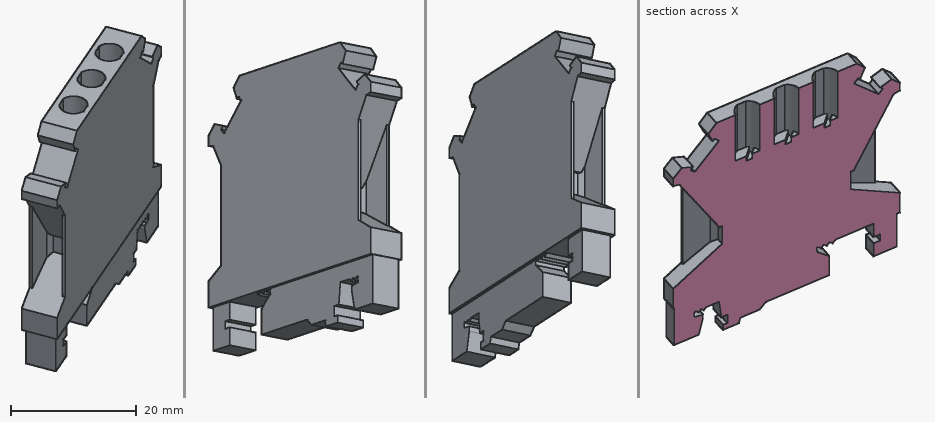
import cadquery as cq
import math

housing_width = 6.15
housing_height = 36.5
half_length = 21.25
waist_half_length = 18.0
base_height = 4.35
base_slope_angle = 30.0
shoulder_bottom_z = 22.78
shoulder_slope_angle = 60.0
shoulder_slope_end_y = 20.07

base_slope = math.tan(math.radians(base_slope_angle))
shoulder_slope = math.tan(math.radians(shoulder_slope_angle))
waist_bottom_z = base_height + (half_length - waist_half_length) * base_slope
shoulder_slope_end_z = shoulder_bottom_z + (shoulder_slope_end_y - waist_half_length) * shoulder_slope

funnel_mouth_half_width = 2.59
funnel_bend_y = 13.15
funnel_bend_half_width = 2.19
funnel_back_y = 12.08
funnel_back_half_width = 1.5
funnel_back_top_z = 13.4
funnel_bottom_z = waist_bottom_z + (waist_half_length - funnel_back_y) * base_slope
funnel_ceiling_y = waist_half_length - (shoulder_bottom_z - funnel_back_top_z) / shoulder_slope

screw_pitch = 7.3
screw_count = 3
shaft_diameter = 4.5
shaft_across_flats = 4.2
shaft_depth = 10.0
slot_width = 0.72
slot_depth = 1.0
slot_angle = -45.0

feet_width = 5.2
foot_bottom_z = -7.15
outer_foot_bottom_z = -8.1
latch_bottom_z = -9.3
main_foot_outer_y = 21.1
clip_ceiling_z = -2.8
clip_wall_y = 17.2
clip_tooth_pitch = 0.93
clip_tooth_count = 2
clip_tooth_start_y = 16.9
rail_tooth_pitch = 1.09
rail_tooth_count = 3
rail_tooth_start_y = -5.9

rear_foot_inner_y = -16.27
rear_foot_outer_y = -20.63
rear_notch_depth = 1.25
rear_notch_top_z = -2.95
rear_notch_height = 1.25


def extrude_across(outline, width):
    """Solid from a (y, z) outline, extruded symmetrically about X = 0."""
    return cq.Workplane("YZ").polyline(outline).close().extrude(width / 2, both=True)


def make_housing():
    right_side = [
        (half_length, 0),
        (half_length, base_height),
        (waist_half_length, waist_bottom_z),
        (waist_half_length, shoulder_bottom_z),
        (shoulder_slope_end_y, shoulder_slope_end_z),
        (half_length, 26.6),
        (half_length, 28.3),
        (19.65, 29.9),
        (17.5, 29.1),
        (17.95, 28.6),
        (17.2, 27.85),
        (12.7, 32.35),
        (13.45, 33.1),
        (13.85, 32.8),
        (14.7, 34.8),
        (13.15, housing_height),
    ]
    left_side = [(-y, z) for y, z in reversed(right_side)]
    return extrude_across(right_side + left_side, housing_width)


def make_funnel():
    """Wire entry at the +Y end: side profile intersected with tapering plan outline."""
    profile = extrude_across(
        [
            (funnel_back_y, funnel_bottom_z),
            (waist_half_length, waist_bottom_z),
            (waist_half_length, shoulder_bottom_z),
            (funnel_ceiling_y, funnel_back_top_z),
            (funnel_back_y, funnel_back_top_z),
        ],
        housing_width,
    )
    half_plan = [
        (funnel_back_half_width, funnel_back_y),
        (funnel_bend_half_width, funnel_bend_y),
        (funnel_mouth_half_width, waist_half_length),
    ]
    mirrored_plan = [(-x, y) for x, y in reversed(half_plan)]
    plan = cq.Workplane("XY").polyline(half_plan + mirrored_plan).close().extrude(housing_height)
    return profile.intersect(plan)


def make_shaft():
    """Flat-sided shaft from the housing top, with the screw slot below its floor."""
    floor_z = housing_height - shaft_depth
    full_depth = shaft_depth + slot_depth
    bottom = cq.Workplane("XY", origin=(0, 0, floor_z - slot_depth))
    bore = bottom.circle(shaft_diameter / 2).extrude(full_depth)
    flats = bottom.rect(shaft_across_flats, shaft_diameter).extrude(full_depth)
    envelope = bore.intersect(flats)
    slot = (
        bottom
        .transformed(rotate=(0, 0, slot_angle))
        .rect(shaft_diameter, slot_width)
        .extrude(slot_depth)
    )
    open_shaft = (
        cq.Workplane("XY")
        .workplane(offset=floor_z)
        .rect(shaft_diameter, shaft_diameter)
        .extrude(shaft_depth)
    )
    return envelope.intersect(open_shaft.union(slot))


def tooth_points(start_y, root_z, pitch, count):
    """Sawtooth running toward -Y; the teeth have 45 degree flanks and point down."""
    points = [(start_y, root_z)]
    for index in range(count):
        tooth_y = start_y - index * pitch
        points.append((tooth_y - pitch / 2, root_z - pitch / 2))
        points.append((tooth_y - pitch, root_z))
    return points


def make_main_foot():
    clip_teeth = tooth_points(clip_tooth_start_y, clip_ceiling_z, clip_tooth_pitch, clip_tooth_count)
    outline = [
        (main_foot_outer_y, 0),
        (main_foot_outer_y, outer_foot_bottom_z),
        (16.4, outer_foot_bottom_z),
        (15.6, -4.85),
        (15.6, -4.05),
        (clip_wall_y, -3.75),
        (clip_wall_y, clip_ceiling_z),
        *clip_teeth,
        (12.65, clip_ceiling_z),
        (12.25, -6.4),
        (11.1, -6.4),
        (11.1, outer_foot_bottom_z),
        (11.9, outer_foot_bottom_z),
        (11.9, latch_bottom_z),
        (8.9, latch_bottom_z),
        (8.6, -8.25),
        (5.05, -8.25),
        (3.85, foot_bottom_z),
        (-8.0, foot_bottom_z),
        (-8.0, -2.9),
        (-5.8, -0.95),
        (-5.65, 0),
    ]
    return extrude_across(outline, feet_width)


def make_rail_teeth():
    """Row of teeth under the housing, overlapped into it by one tooth height."""
    teeth = tooth_points(rail_tooth_start_y, 0, rail_tooth_pitch, rail_tooth_count)
    end_y = teeth[-1][0]
    root = [(end_y, rail_tooth_pitch / 2), (rail_tooth_start_y, rail_tooth_pitch / 2)]
    return extrude_across(teeth + root, feet_width)


def make_rear_foot():
    notch_wall_y = rear_foot_inner_y - rear_notch_depth
    notch_bottom_z = rear_notch_top_z - rear_notch_height
    outline = [
        (rear_foot_outer_y, 0),
        (rear_foot_inner_y, 0),
        (rear_foot_inner_y, rear_notch_top_z),
        (notch_wall_y, rear_notch_top_z),
        (notch_wall_y, notch_bottom_z),
        (rear_foot_inner_y, notch_bottom_z),
        (rear_foot_inner_y, foot_bottom_z),
        (rear_foot_outer_y, foot_bottom_z),
    ]
    return extrude_across(outline, feet_width)


housing = make_housing()

funnel = make_funnel()
housing = housing.cut(funnel).cut(funnel.mirror("XZ"))

shaft = make_shaft()
for index in range(screw_count):
    shaft_y = (index - (screw_count - 1) / 2) * screw_pitch
    housing = housing.cut(shaft.translate((0, shaft_y, 0)))

result = housing.union(make_main_foot()).union(make_rail_teeth()).union(make_rear_foot())